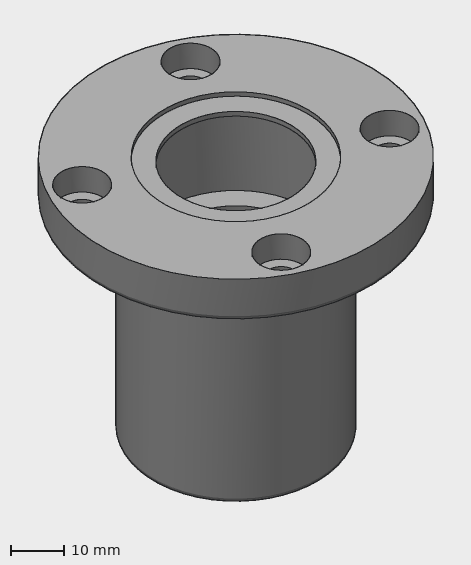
import cadquery as cq

flange_diameter = 74.0
flange_thickness = 10.0
flange_edge_radius = 1.0

total_height = 65.0
barrel_diameter = 45.0
barrel_edge_radius = 1.0

bore_diameter = 30.0
seat_diameter = 39.2
seat_depth = 1.0

chamber_diameter = seat_diameter
lip_thickness = 1.1
ledge_depth = 23.5
chamber_top_depth = seat_depth + lip_thickness

bolt_count = 4
bolt_circle_diameter = 60.0
bolt_hole_diameter = 6.6
counterbore_diameter = 11.0
counterbore_depth = 6.1


def make_flange():
    disc = cq.Workplane("XY").circle(flange_diameter / 2).extrude(-flange_thickness)
    return disc.faces("<Z").edges().fillet(flange_edge_radius)


def make_barrel():
    cylinder = cq.Workplane("XY").circle(barrel_diameter / 2).extrude(-total_height)
    return cylinder.faces("<Z").edges().fillet(barrel_edge_radius)


def cut_bore(body):
    bore = cq.Workplane("XY").circle(bore_diameter / 2).extrude(-total_height)
    seat = cq.Workplane("XY").circle(seat_diameter / 2).extrude(-seat_depth)
    chamber = (
        cq.Workplane("XY", origin=(0, 0, -chamber_top_depth))
        .circle(chamber_diameter / 2)
        .extrude(chamber_top_depth - ledge_depth)
    )
    return body.cut(bore).cut(seat).cut(chamber)


def cut_bolt_holes(body):
    return (
        body.faces(">Z")
        .workplane(origin=(0, 0, 0))
        .polarArray(bolt_circle_diameter / 2, 0, 360, bolt_count)
        .cboreHole(bolt_hole_diameter, counterbore_diameter, counterbore_depth, flange_thickness)
    )


blank = make_flange().union(make_barrel())
result = cut_bolt_holes(cut_bore(blank))